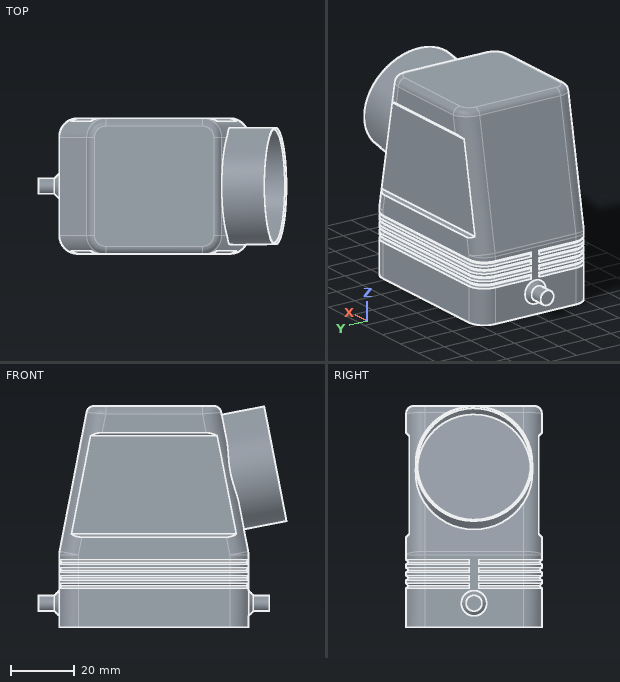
import math
import cadquery as cq

base_length = 59.9
body_width = 43.0
body_height = 70.0
taper_start = 23.5
taper_angle = 11.0
corner_radius = 6.0
shoulder_radius = 6.0
top_edge_radius = 2.5

recess_bottom = 28.5
recess_top = 61.5
recess_depth = 1.0

groove_count = 4
lowest_groove_height = 13.1
groove_pitch = 2.5
groove_width = 1.5
groove_depth = groove_width / 2
groove_gap = 3.0

pin_span = 73.0
pin_diameter = 5.0
pin_height = 7.6
pin_base_diameter = 8.0
pin_cone_length = (pin_base_diameter - pin_diameter) / 2

tube_diameter = 37.0
overall_length = 78.45
tube_reach = overall_length - pin_span / 2
tube_end_height = 51.7
tube_bore_depth = 10.4
tube_wall = 0.6
tube_rim_chamfer = 0.5

tilt = math.radians(taper_angle)


def make_body():
    """Tapered block with rounded shoulders, corners and top rim."""
    half_base = base_length / 2
    half_top = half_base - (body_height - taper_start) * math.tan(tilt)
    block = (
        cq.Workplane("XZ")
        .polyline([
            (-half_base, 0),
            (half_base, 0),
            (half_base, taper_start),
            (half_top, body_height),
            (-half_top, body_height),
            (-half_base, taper_start),
        ])
        .close()
        .extrude(body_width / 2, both=True)
    )
    shoulder_edges = cq.selectors.BoxSelector(
        (-base_length, -body_width, taper_start / 2),
        (base_length, body_width, body_height / 2),
    )
    block = block.edges("|Y").edges(shoulder_edges).fillet(shoulder_radius)
    block = block.faces("<Y or >Y").edges("not(|X)").fillet(corner_radius)
    return block.faces(">Z").edges().fillet(top_edge_radius)


def make_recess(side):
    """Full-length cutter with 45 degree ends, for the side at +Y (1) or -Y (-1)."""
    surface = side * body_width / 2
    floor = surface - side * recess_depth
    outside = surface + side * recess_depth
    return (
        cq.Workplane("YZ")
        .polyline([
            (outside, recess_bottom - recess_depth),
            (floor, recess_bottom + recess_depth),
            (floor, recess_top - recess_depth),
            (outside, recess_top + recess_depth),
        ])
        .close()
        .extrude(base_length, both=True)
    )


def base_outline(height):
    """Rounded rectangular outline of the base at the given height."""
    return (
        cq.Sketch()
        .rect(base_length, body_width)
        .vertices()
        .fillet(corner_radius)
        .moved(cq.Location(cq.Vector(0, 0, height)))
    )


def make_groove(height):
    """V-shaped ring around the base, left out at the middle of both short sides."""
    half_groove = groove_width / 2
    ring = (
        cq.Workplane("XY")
        .workplane(offset=height)
        .rect(2 * base_length, 2 * body_width)
        .extrude(half_groove, both=True)
    )
    core_taper = math.degrees(math.atan2(groove_depth, half_groove))
    lower_core = (
        cq.Workplane("XY")
        .placeSketch(base_outline(height - half_groove))
        .extrude(half_groove, taper=core_taper)
    )
    upper_core = lower_core.mirror("XY", (0, 0, height))
    gap = (
        cq.Workplane("XY")
        .box(2 * base_length, groove_gap, groove_width)
        .translate((0, 0, height))
    )
    return ring.cut(lower_core).cut(upper_core).cut(gap)


def make_pin(side):
    """Locking pin with a conical foot, at the +X (1) or -X (-1) end."""
    root = side * (base_length / 2 - pin_cone_length)
    wall = side * base_length / 2
    cone_end = wall + side * pin_cone_length
    tip = side * pin_span / 2
    return (
        cq.Workplane("XZ")
        .polyline([
            (root, 0),
            (root, pin_base_diameter / 2),
            (wall, pin_base_diameter / 2),
            (cone_end, pin_diameter / 2),
            (tip, pin_diameter / 2),
            (tip, 0),
        ])
        .close()
        .revolve(360, (0, 0, 0), (1, 0, 0))
        .translate((0, 0, pin_height))
    )


def tube_end_plane():
    """Plane of the tube's open end, facing outwards and up."""
    end_x = tube_reach - tube_diameter / 2 * math.sin(tilt)
    return cq.Plane(
        origin=(end_x, 0, tube_end_height),
        xDir=(0, 1, 0),
        normal=(math.cos(tilt), 0, math.sin(tilt)),
    )


def make_tube():
    """Solid tube, long enough to merge into the body."""
    return cq.Workplane(tube_end_plane()).circle(tube_diameter / 2).extrude(-tube_diameter / 2)


def make_tube_bore():
    """Blind bore with a chamfered mouth."""
    bore_radius = tube_diameter / 2 - tube_wall
    return (
        cq.Workplane(tube_end_plane())
        .circle(bore_radius + tube_rim_chamfer)
        .extrude(-tube_rim_chamfer, taper=45)
        .union(cq.Workplane(tube_end_plane()).circle(bore_radius).extrude(-tube_bore_depth))
    )


body = make_body()
for index in range(groove_count):
    body = body.cut(make_groove(lowest_groove_height + index * groove_pitch))
for side in (-1, 1):
    body = body.cut(make_recess(side))
    body = body.union(make_pin(side))

result = body.union(make_tube()).cut(make_tube_bore())